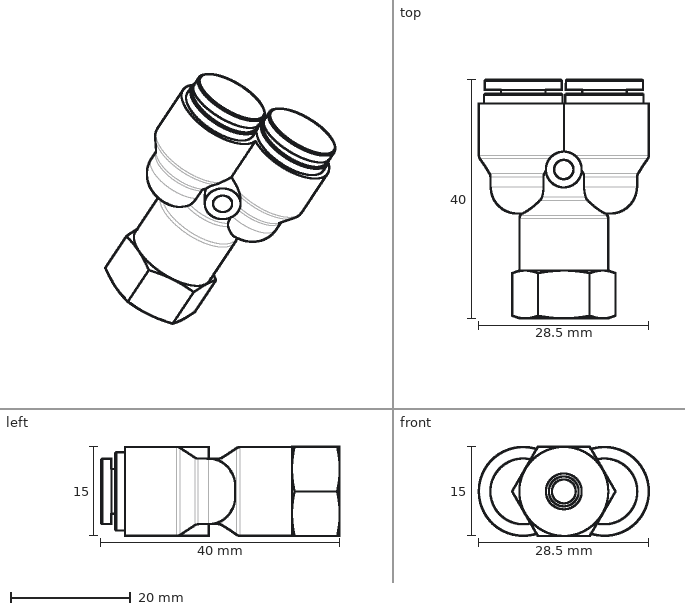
import cadquery as cq
import math


total_length = 39.95
hex_length = 8.0
body_top = 35.95
barrel_length = 9.0
shoulder_length = 3.0
dome_tip = 17.5
boss_y = 24.9

port_offset = 6.8
port_positions = [-port_offset, port_offset]
barrel_radius = 14.9 / 2
neck_radius = 11.0 / 2
shoulder_fillet = 1.0
dome_fillet = 4.47
boss_diameter = 6.0
boss_hole_diameter = 3.2

hex_flats = 15.0
hex_face_radius = 14.9 / 2
hex_chamfer_angle = 20.0
bore_mouth_diameter = 6.0
bore_diameter = 5.0
bore_depth = 6.0
passage_diameter = 4.0

collar_diameter = 13.15
collar_height = 1.65
button_width = 12.95
button_height = 11.0
button_thickness = 1.75
button_neck_diameter = 7.5
rim_chamfer = 0.25


def revolve_about_y(points):
    """Solid of revolution about the Y axis from (radius, y) points."""
    return cq.Workplane("XY").polyline(points).close().revolve(360, (0, 0, 0), (0, 1, 0))


def disc(diameter, y_start, length, x):
    """Cylinder along +Y that starts at y_start, with its axis offset by x."""
    plane = cq.Plane(origin=(x, y_start, 0), xDir=(1, 0, 0), normal=(0, 1, 0))
    return cq.Workplane(plane).circle(diameter / 2).extrude(length)


def round_ring(solid, y, radius):
    """Fillet the circular edge about the Y axis at height y."""
    return solid.edges(cq.selectors.NearestToPointSelector((0, y, 0))).fillet(radius)


def shouldered_barrel(y_start, y_tip):
    """Barrel on the Y axis that tapers through a smooth shoulder to a neck ending at y_tip."""
    direction = math.copysign(1, y_tip - y_start)
    y_shoulder = y_start + direction * barrel_length
    y_neck = y_shoulder + direction * shoulder_length
    barrel = revolve_about_y([
        (0, y_start),
        (barrel_radius, y_start),
        (barrel_radius, y_shoulder),
        (neck_radius, y_neck),
        (neck_radius, y_tip),
        (0, y_tip),
    ])
    barrel = round_ring(barrel, y_shoulder, shoulder_fillet)
    return round_ring(barrel, y_neck, shoulder_fillet)


def make_housing():
    """Stem, two dome-ended ports and a cross boss with its mounting hole."""
    housing = shouldered_barrel(hex_length, boss_y)
    port = round_ring(shouldered_barrel(body_top, dome_tip), dome_tip, dome_fillet)
    for x in port_positions:
        housing = housing.union(port.translate((x, 0, 0)))
    boss_base = cq.Workplane("XY", origin=(0, boss_y, -barrel_radius))
    boss = boss_base.circle(boss_diameter / 2).extrude(2 * barrel_radius)
    boss_hole = boss_base.circle(boss_hole_diameter / 2).extrude(2 * barrel_radius)
    return housing.union(boss).cut(boss_hole)


def make_hex_socket():
    """Hexagon with flats facing up and down, chamfered corners and a stepped bore."""
    corner_radius = hex_flats / math.sqrt(3)
    chamfer_length = (corner_radius - hex_face_radius) * math.tan(math.radians(hex_chamfer_angle))
    socket = cq.Workplane("XZ").polygon(6, 2 * corner_radius).extrude(-hex_length)
    corner_envelope = revolve_about_y([
        (0, 0),
        (hex_face_radius, 0),
        (corner_radius, chamfer_length),
        (corner_radius, hex_length - chamfer_length),
        (hex_face_radius, hex_length),
        (0, hex_length),
    ])
    mouth_depth = (bore_mouth_diameter - bore_diameter) / 2
    bore = revolve_about_y([
        (0, 0),
        (bore_mouth_diameter / 2, 0),
        (bore_diameter / 2, mouth_depth),
        (bore_diameter / 2, bore_depth),
        (passage_diameter / 2, bore_depth),
        (passage_diameter / 2, hex_length),
        (0, hex_length),
    ])
    return socket.intersect(corner_envelope).cut(bore)


def make_collar(x):
    """Ring on the end of one port, with a hole that fits the button neck."""
    collar = disc(collar_diameter, body_top, collar_height, x)
    collar = collar.faces(">Y").edges().chamfer(rim_chamfer)
    return collar.cut(disc(button_neck_diameter, body_top, collar_height, x))


def make_button(x):
    """Oval release button whose round neck passes through the collar."""
    y_underside = total_length - button_thickness
    plane = cq.Plane(origin=(x, y_underside, 0), xDir=(1, 0, 0), normal=(0, 1, 0))
    head = cq.Workplane(plane).ellipse(button_width / 2, button_height / 2).extrude(button_thickness)
    head = head.faces(">Y").edges().chamfer(rim_chamfer)
    return head.union(disc(button_neck_diameter, body_top, y_underside - body_top, x))


housing = make_housing()
hex_socket = make_hex_socket()
collars = [make_collar(x).val() for x in port_positions]
buttons = [make_button(x).val() for x in port_positions]

result = cq.Compound.makeCompound([housing.val(), hex_socket.val(), *collars, *buttons])